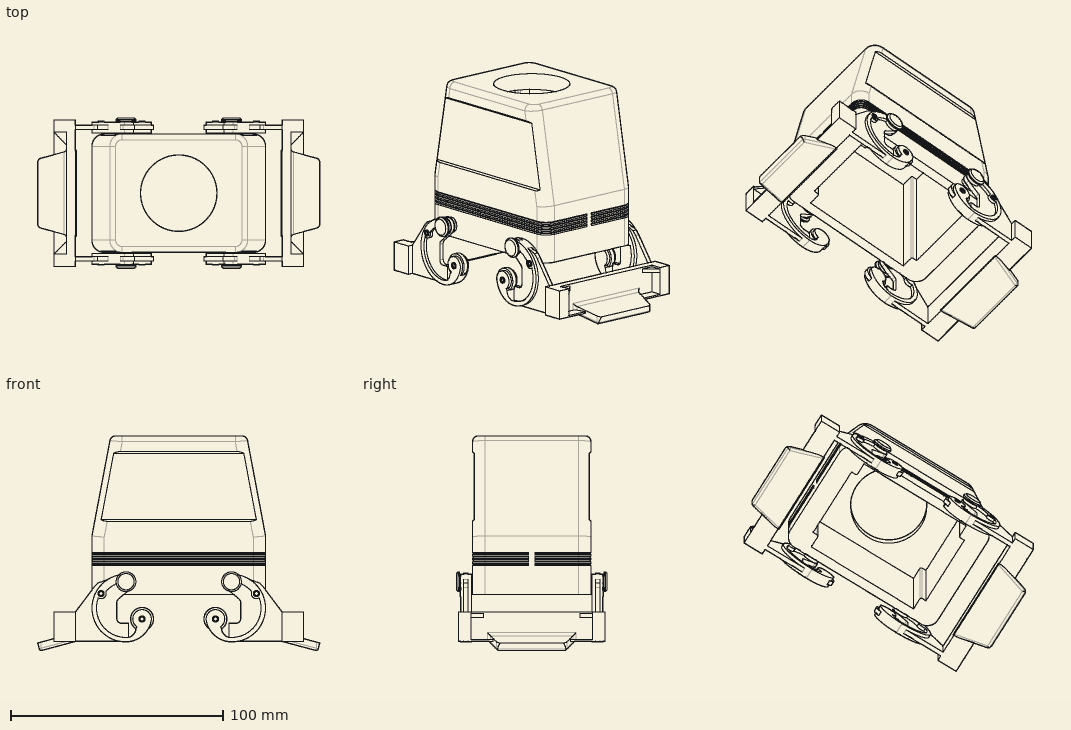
import cadquery as cq
import math

total_height = 101.3
hood_bottom = 26.3
hood_bend = 54.0
base_half_length = 41.0
top_half_length = 32.1
hood_half_width = 28.0
corner_radius = 5.9
top_edge_radius = 2.8
cable_hole_radius = 18.0

recess_bottom = 61.0
recess_top = 93.8
recess_depth = 0.8

groove_count = 4
groove_top = 45.8
groove_pitch = 1.7
groove_depth = 0.5
groove_gap = 2.9

roof_thickness = 7.7
cavity_half_length = 31.3
cavity_half_width = 23.5
post_length = 2.9
post_width = 6.4
post_edge_radius = 0.8

bar_outer = 58.8
bar_inner = 48.7
bar_half_width = 34.6
bar_bottom = 4.4
bar_top = 18.2
pocket_back = 53.0
pocket_half_width = 28.7
pocket_floor = bar_bottom + 0.8
gusset_tip = 22.8
gusset_top = bar_top - 0.8
gusset_bottom = gusset_top - 1.7

tab_angle = math.radians(15)
tab_thickness = 4.0
tab_reach = 66.5
tab_tip_half_width = 16.1
tab_tip_radius = 2.1
tab_root_fillet = 1.6
tab_rim_fillet = 1.0

plate_inner = 30.0
plate_outer = 32.1
ring_inner = 28.3
ring_outer = 33.5

ring_x = -24.95
ring_z = 20.03
ring_radius = 16.0
ring_hole_radius = 13.8
ring_upper_radius = 12.2

pin_x = -24.9
pin_z = 32.5
pin_radius = 2.7
pin_boss_radius = 4.0
pin_cheek_radius = 3.6
pin_head_radius = 4.7
pin_head_chamfer = 0.8
pin_head_bottom = 34.0
pin_head_top = 35.5

rivet_x = -36.6
rivet_z = 26.9
rivet_radius = 1.5
rivet_hole_radius = 0.9
rivet_height = 0.4
rivet_lug_radius = 2.4

roller_x = -17.3
roller_z = 14.9
roller_radius = 5.5
roller_cheek_radius = 4.4
hook_throat = (-20.9, 8.3)
hook_throat_top = (-20.2, 10.4)

plate_toe_x = -23.7
plate_toe_top = 12.9
notch_x = -29.1
notch_fillet = 2.1
notch_top = 23.7
shoulder_low = (-40.0, 29.8)
shoulder_high = (-38.2, 31.8)

nearby = 0.1


def layer(inner, outer):
    """XZ sketch plane and thickness of a layer on the -Y side."""
    return cq.Workplane("XZ", origin=(0, -inner, 0)), outer - inner


def disc(x, z, radius, inner, outer):
    plane, thickness = layer(inner, outer)
    return plane.center(x, z).circle(radius).extrude(thickness)


def mirrored(shape, plane):
    return shape.union(shape.mirror(plane))


def block(x_size, y_size, z_bottom, z_top):
    """Box centred on the Z axis."""
    return (cq.Workplane("XY", origin=(0, 0, z_bottom))
            .rect(x_size, y_size).extrude(z_top - z_bottom))


def hood_shell():
    shell = (cq.Workplane("XZ", origin=(0, hood_half_width, 0))
             .polyline([(-base_half_length, hood_bottom),
                        (base_half_length, hood_bottom),
                        (base_half_length, hood_bend),
                        (top_half_length, total_height),
                        (-top_half_length, total_height),
                        (-base_half_length, hood_bend)])
             .close().extrude(2 * hood_half_width))
    shell = shell.edges("(not #Z) and (not |Y) and (not |X)").fillet(corner_radius)
    return shell.faces(">Z").edges().fillet(top_edge_radius)


def side_recess():
    """Bevelled panel cut from the long side at -Y."""
    floor_y = -(hood_half_width - recess_depth)
    outside_y = floor_y - 2 * recess_depth
    flare = 2 * recess_depth
    return (cq.Workplane("YZ", origin=(-base_half_length, 0, 0))
            .polyline([(floor_y, recess_bottom + recess_depth),
                       (floor_y, recess_top - recess_depth),
                       (outside_y, recess_top - recess_depth + flare),
                       (outside_y, recess_bottom + recess_depth - flare)])
            .close().extrude(2 * base_half_length))


def v_groove(z):
    """Ring with a V section around the hood, interrupted in the middle of both end walls."""
    slab = block(3 * base_half_length, 3 * hood_half_width, z - groove_depth, z + groove_depth)
    for direction in (1, -1):
        waist = (cq.Workplane("XY", origin=(0, 0, z))
                 .sketch()
                 .rect(2 * (base_half_length - groove_depth), 2 * (hood_half_width - groove_depth))
                 .vertices().fillet(corner_radius - groove_depth)
                 .finalize()
                 .extrude(direction * groove_depth, taper=-45))
        slab = slab.cut(waist)
    gap = block(3 * base_half_length, groove_gap, z - groove_depth, z + groove_depth)
    return slab.cut(gap)


def cavity():
    """Straight room below the roof, with a rounded post left standing in each corner."""
    room = block(2 * cavity_half_length, 2 * cavity_half_width,
                 hood_bottom, total_height - roof_thickness)
    posts = (cq.Workplane("XY", origin=(0, 0, hood_bottom))
             .rect(2 * cavity_half_length, 2 * cavity_half_width, forConstruction=True)
             .vertices().rect(2 * post_length, 2 * post_width)
             .extrude(total_height - roof_thickness - hood_bottom)
             .edges("|Z").fillet(post_edge_radius))
    return room.cut(posts)


def hood():
    body = hood_shell()
    body = body.cut(mirrored(side_recess(), "XZ"))
    for index in range(groove_count):
        body = body.cut(v_groove(groove_top - index * groove_pitch))
    body = body.cut(cavity())
    cable_hole = (cq.Workplane("XY", origin=(0, 0, hood_bend))
                  .circle(cable_hole_radius).extrude(total_height - hood_bend))
    return body.cut(cable_hole)


def cross_bar():
    """Bar at -X with a pocket open to the outside and above, and a gusset in each pocket corner."""
    bar = (cq.Workplane("XY", origin=(-(bar_outer + bar_inner) / 2, 0, bar_bottom))
           .rect(bar_outer - bar_inner, 2 * bar_half_width).extrude(bar_top - bar_bottom))
    pocket = (cq.Workplane("XY", origin=(-(bar_outer + pocket_back) / 2, 0, pocket_floor))
              .rect(bar_outer - pocket_back, 2 * pocket_half_width).extrude(bar_top - pocket_floor))
    gusset = (cq.Workplane("XY", origin=(0, 0, gusset_bottom))
              .polyline([(-pocket_back, -pocket_half_width),
                         (-bar_outer, -pocket_half_width),
                         (-pocket_back, -gusset_tip)])
              .close().extrude(gusset_top - gusset_bottom))
    return bar.cut(pocket).union(mirrored(gusset, "XZ"))


def finger_tab():
    """Sloping tab that runs from below the bar's inner side out to the tip, narrowing as it goes."""
    slope = math.tan(tab_angle)
    tip_bottom_z = -tab_rim_fillet * (math.cos(tab_angle) + math.sin(tab_angle) - 1)
    tip_top = (-tab_reach, tip_bottom_z + tab_thickness * math.cos(tab_angle))
    tip_bottom_x = -tab_reach + tab_thickness * math.sin(tab_angle)
    root_top = tip_top[1] + (tab_reach - pocket_back) * slope
    root_x = tip_bottom_x + (bar_bottom - tip_bottom_z) / slope
    slab = (cq.Workplane("XZ", origin=(0, bar_half_width, 0))
            .polyline([(tip_bottom_x, tip_bottom_z),
                       (root_x, bar_bottom),
                       (-pocket_back, root_top),
                       tip_top])
            .close().extrude(2 * bar_half_width))
    root_half_width = tab_tip_half_width + (tab_reach + root_x) * slope
    outline = (cq.Workplane("XY")
               .polyline([(-tab_reach, -tab_tip_half_width),
                          (root_x, -root_half_width),
                          (root_x, root_half_width),
                          (-tab_reach, tab_tip_half_width)])
               .close().extrude(bar_top, both=True)
               .edges("|Z and <X").fillet(tab_tip_radius))
    tab = slab.intersect(outline)
    underside = cq.selectors.ParallelDirSelector(cq.Vector(-slope, 0, 1))
    return tab.faces(underside).faces("<Z").edges("not >X").fillet(tab_rim_fillet)


def handle():
    """Cross bar with the tab blended into the back wall of its pocket."""
    joined = cross_bar().union(finger_tab())
    tab_root = cq.selectors.BoxSelector((-pocket_back - nearby, -gusset_tip, pocket_floor + nearby),
                                        (-pocket_back + nearby, gusset_tip, gusset_bottom - nearby))
    return joined.edges(tab_root).fillet(tab_root_fillet)


def arm_plate():
    """Flat plate from the bar up to the pin, notched for the roller."""
    across = pin_x - shoulder_high[0]
    rise = pin_z - shoulder_high[1]
    climb = math.atan2(rise, across) + math.asin(pin_boss_radius / math.hypot(across, rise))

    def on_boss(angle):
        return (pin_x + pin_boss_radius * math.cos(angle), pin_z + pin_boss_radius * math.sin(angle))

    boss_low = math.radians(-50)
    boss_side = math.radians(20)
    boss_tangent = climb + math.pi / 2
    plane, thickness = layer(plate_inner, plate_outer)
    plate = (plane.moveTo(-bar_inner, bar_bottom)
             .lineTo(plate_toe_x, bar_bottom)
             .lineTo(plate_toe_x, plate_toe_top)
             .lineTo(notch_x, plate_toe_top)
             .lineTo(notch_x, notch_top)
             .lineTo(*on_boss(boss_low))
             .threePointArc(on_boss(boss_side), on_boss(boss_tangent))
             .lineTo(*shoulder_high)
             .lineTo(*shoulder_low)
             .lineTo(-bar_inner, bar_top)
             .close().extrude(thickness))
    notch_corners = cq.selectors.BoxSelector((notch_x - nearby, -ring_outer, plate_toe_top - nearby),
                                             (notch_x + nearby, -ring_inner, notch_top + nearby))
    return plate.edges("|Y").edges(notch_corners).fillet(notch_fillet)


def ring_sector(hole_radius, start, end):
    """Part of the ring between two angles, counterclockwise from +X."""
    def point(radius, angle):
        return (ring_x + radius * math.cos(angle), ring_z + radius * math.sin(angle))

    middle = (start + end) / 2
    plane, thickness = layer(ring_inner, ring_outer)
    return (plane.moveTo(*point(ring_radius, start))
            .threePointArc(point(ring_radius, middle), point(ring_radius, end))
            .lineTo(*point(hole_radius, end))
            .threePointArc(point(hole_radius, middle), point(hole_radius, start))
            .close().extrude(thickness))


def hook():
    """Curved finger from the bottom of the ring up to the roller."""
    ring_bottom = ring_z - ring_radius
    across = roller_x - ring_x
    rise = roller_z - ring_bottom
    radius = (across ** 2 + rise ** 2 - roller_cheek_radius ** 2) / (2 * (rise - roller_cheek_radius))
    arc_z = ring_bottom + radius
    start_angle = -math.pi / 2
    end_angle = math.atan2(roller_z - arc_z, across)

    def on_arc(angle):
        return (ring_x + radius * math.cos(angle), arc_z + radius * math.sin(angle))

    plane, thickness = layer(ring_inner, ring_outer)
    return (plane.moveTo(ring_x, ring_bottom)
            .threePointArc(on_arc((start_angle + end_angle) / 2), on_arc(end_angle))
            .lineTo(roller_x, roller_z)
            .lineTo(*hook_throat_top)
            .threePointArc(hook_throat, (ring_x, ring_z - ring_hole_radius))
            .close().extrude(thickness))


def stud(x, z):
    """Hollow rivet end standing on the ring's outer face."""
    rivet = disc(x, z, rivet_radius, ring_inner, ring_outer + rivet_height)
    return rivet.cut(disc(x, z, rivet_hole_radius, ring_outer, ring_outer + rivet_height))


def pin():
    """Pivot pin from the hood wall to its chamfered head."""
    shank = disc(pin_x, pin_z, pin_radius, hood_half_width - recess_depth, pin_head_top)
    head = disc(pin_x, pin_z, pin_head_radius, pin_head_bottom, pin_head_top)
    return shank.union(head.faces("<Y").chamfer(pin_head_chamfer))


def lever_arm():
    """Arm at -X, -Y: plate, ring, hook, roller and pin."""
    pin_angle = math.atan2(pin_z - ring_z, pin_x - ring_x)
    rivet_angle = math.atan2(rivet_z - ring_z, rivet_x - ring_x)
    parts = [
        ring_sector(ring_hole_radius, pin_angle, 3 * math.pi / 2),
        ring_sector(ring_upper_radius, pin_angle, rivet_angle),
        disc(rivet_x, rivet_z, rivet_lug_radius, ring_inner, ring_outer),
        disc(pin_x, pin_z, pin_cheek_radius, ring_inner, ring_outer),
        hook(),
        disc(roller_x, roller_z, roller_radius, plate_inner, plate_outer),
        disc(roller_x, roller_z, roller_cheek_radius, ring_inner, ring_outer),
        stud(rivet_x, rivet_z),
        stud(roller_x, roller_z),
        pin(),
    ]
    arm = arm_plate()
    for part in parts:
        arm = arm.union(part)
    return arm


lever = handle().union(mirrored(lever_arm(), "XZ"))
result = hood().union(mirrored(lever, "YZ"))